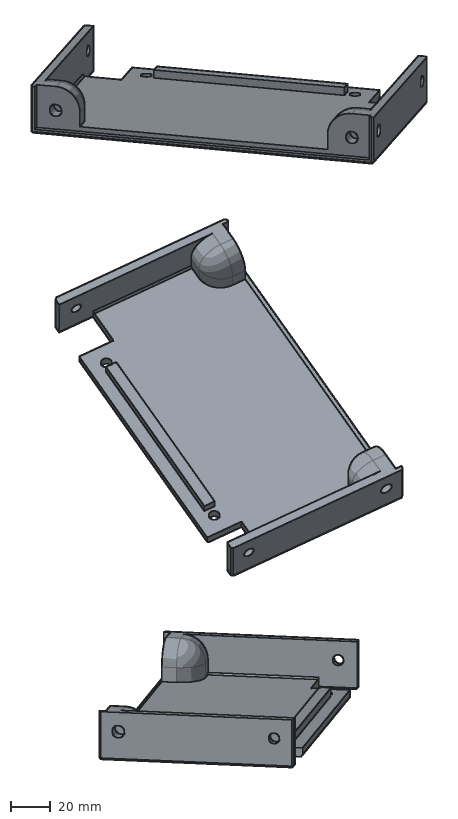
import cadquery as cq

length = 180.0
width = 100.0
height = 25.0
wall = 4.75
floor = 4.75

edge_chamfer = 1.0
inner_chamfer = 1.0
notch_chamfer = 1.0

rebate_depth = 3.25
rebate_skin = 2.25

tongue_length = 130.0
notch_depth = 20.0

block_reach_x = 25.0
block_reach_y = 23.25
block_round = 12.5

bar_length = 100.0
bar_width = 6.0
bar_height = 4.25

clearance_diameter = 5.5
insert_diameter = 6.3
insert_depth = 8.0
tongue_hole_x = 54.75
hole_inset = 10.0
side_hole_z = 15.0
front_hole_z = 12.25
front_hole_inset = 12.25

half_length = length / 2
half_width = width / 2
back_hole_y = half_width - hole_inset
side_hole_y = hole_inset - half_width
rebate_y = rebate_depth - half_width


def box_between(low, high):
    """Axis-aligned box spanning two opposite corners."""
    size = [b - a for a, b in zip(low, high)]
    return cq.Workplane("XY").box(*size, centered=False).translate(low)


def cylinder(start, direction, diameter, depth):
    """Solid cylinder from a start point along a direction."""
    solid = cq.Solid.makeCylinder(diameter / 2, depth, cq.Vector(*start), cq.Vector(*direction))
    return cq.Workplane(solid)


def both_sides(shape):
    """A shape together with its mirror image across the YZ plane."""
    return shape.union(shape.mirror("YZ"))


def make_tray():
    """Floor and two side walls, chamfered on the outside and where the walls meet the floor."""
    envelope = cq.Workplane("XY").box(length, width, height, centered=(True, True, False))
    envelope = envelope.edges("|Z or <Z").chamfer(edge_chamfer)
    inner_x = half_length - wall
    cavity = box_between((-inner_x, -half_width, floor), (inner_x, half_width, height))
    cavity = cavity.edges("|Y and <Z").chamfer(inner_chamfer)
    return envelope.cut(cavity)


def make_block():
    """Left screw block: its top, inner and back edges merge in a spherical corner."""
    block = box_between(
        (-half_length + rebate_skin, rebate_y, rebate_skin),
        (-half_length + block_reach_x, -half_width + block_reach_y, height),
    )
    rounded = block.edges("(|Z and >X and >Y) or (>Z and >X) or (>Z and >Y)")
    return rounded.fillet(block_round)


def make_notch():
    """Left back corner cut-out through the floor, flared by a chamfer along the wall's lower edge."""
    wall_x = -half_length + wall
    front_y = half_width - notch_depth
    opening = box_between((wall_x, front_y, 0), (-tongue_length / 2, half_width, height))
    flare = (
        cq.Workplane("XZ", origin=(wall_x, front_y, 0))
        .polyline([(0, 0), (-notch_chamfer, 0), (0, notch_chamfer)])
        .close()
        .extrude(-notch_depth)
    )
    return opening.union(flare)


def make_rebate():
    """Step along the front edge of the floor and both walls."""
    rebate_x = half_length - rebate_skin
    return box_between((-rebate_x, -half_width, rebate_skin), (rebate_x, rebate_y, height))


def make_bar():
    """Raised bar between the tongue holes."""
    return box_between(
        (-bar_length / 2, back_hole_y - bar_width / 2, floor),
        (bar_length / 2, back_hole_y + bar_width / 2, floor + bar_height),
    )


def make_holes():
    """Left set of holes: through the tongue and wall, and two blind ones in the block."""
    tongue_hole = cylinder((-tongue_hole_x, back_hole_y, 0), (0, 0, 1), clearance_diameter, floor)
    wall_hole = cylinder((-half_length, back_hole_y, side_hole_z), (1, 0, 0), clearance_diameter, wall)
    side_hole = cylinder(
        (-half_length, side_hole_y, side_hole_z), (1, 0, 0), insert_diameter, insert_depth
    )
    front_hole = cylinder(
        (-half_length + front_hole_inset, rebate_y, front_hole_z), (0, 1, 0), insert_diameter, insert_depth
    )
    return tongue_hole.union(wall_hole).union(side_hole).union(front_hole)


result = make_tray().cut(both_sides(make_notch()))
result = result.union(both_sides(make_block())).union(make_bar())
result = result.cut(make_rebate()).cut(both_sides(make_holes()))